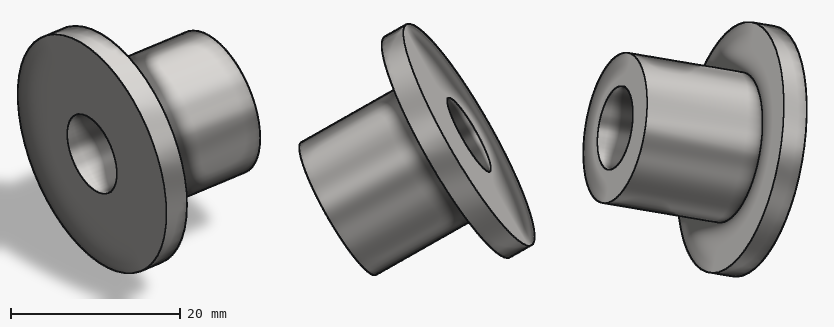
import cadquery as cq

flange_diameter = 30
flange_thickness = 3
sleeve_diameter = 18
overall_length = 18
bore_diameter = flange_diameter / 3


def cylinder_along_y(diameter, length):
    """Cylinder centred on the Y axis, running from Y = 0 towards +Y."""
    return cq.Workplane("XZ").circle(diameter / 2).extrude(-length)


flange = cylinder_along_y(flange_diameter, flange_thickness)
sleeve = cylinder_along_y(sleeve_diameter, overall_length)
bore = cylinder_along_y(bore_diameter, overall_length)

result = flange.union(sleeve).cut(bore)